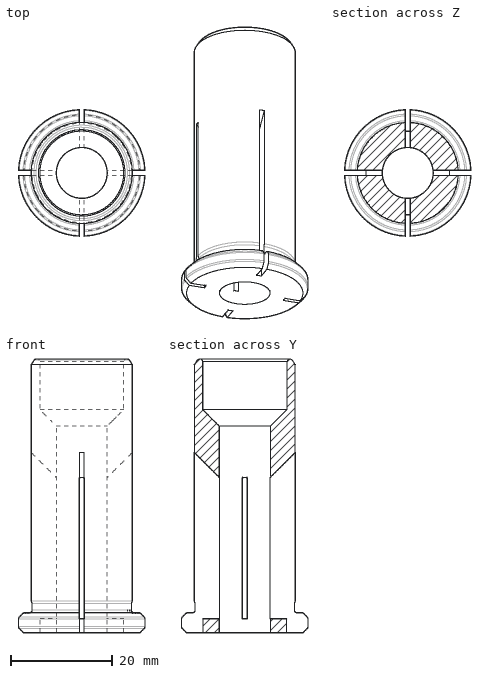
import cadquery as cq
import math

total_height = 54.0
tube_radius = 20.0 / 2
flange_radius = 25.0 / 2
bore_radius = 16.5 / 2
throat_radius = 10.0 / 2

flange_height = 4.0
flange_chamfer = 1.0
blend_radius = 0.5
groove_depth = 0.15
groove_taper_start = 5.8
groove_top = 6.3

rim_chamfer_height = 1.15
rim_chamfer_width = 0.7
bore_chamfer_width = 0.25
bore_chamfer_height = 0.55

funnel_top = 44.0
funnel_slope = 45.0

slot_width = 0.95
slot_top = 35.6
slot_end_slope = 45.0
base_ring_height = 2.8
base_ring_radius = bore_radius
slot_count = 4

groove_radius = tube_radius - groove_depth
flange_top_radius = flange_radius - flange_chamfer
rim_radius = tube_radius - rim_chamfer_width


def make_outer_body():
    """Solid of revolution with the flange, relief groove and rim chamfer."""
    profile = (
        cq.Workplane("XZ")
        .lineTo(flange_top_radius, 0)
        .lineTo(flange_radius, flange_chamfer)
        .lineTo(flange_radius, flange_height - flange_chamfer)
        .lineTo(flange_top_radius, flange_height)
        .lineTo(groove_radius, flange_height)
        .lineTo(groove_radius, groove_taper_start)
        .lineTo(tube_radius, groove_top)
        .lineTo(tube_radius, total_height - rim_chamfer_height)
        .lineTo(rim_radius, total_height)
        .lineTo(0, total_height)
        .close()
    )
    body = profile.revolve(360, (0, 0, 0), (0, 1, 0))
    return blend_edges(body)


def blend_edges(body):
    """Round the flange corners, the flange root and the outer rim edge."""
    blended_circles = [
        (flange_radius, flange_chamfer),
        (flange_radius, flange_height - flange_chamfer),
        (flange_top_radius, flange_height),
        (groove_radius, flange_height),
        (rim_radius, total_height),
    ]

    def is_blended(edge):
        if edge.geomType() != "CIRCLE":
            return False
        height = edge.Center().z
        return any(
            math.isclose(edge.radius(), radius, abs_tol=0.005) and math.isclose(height, z, abs_tol=0.005)
            for radius, z in blended_circles
        )

    edges = [edge for edge in body.edges().vals() if is_blended(edge)]
    return body.newObject(edges).fillet(blend_radius)


def make_cavity():
    """Upper bore, funnel and throat bore down to the base."""
    funnel_bottom = funnel_top - (bore_radius - throat_radius) * math.tan(math.radians(funnel_slope))
    profile = (
        cq.Workplane("XZ")
        .lineTo(throat_radius, 0)
        .lineTo(throat_radius, funnel_bottom)
        .lineTo(bore_radius, funnel_top)
        .lineTo(bore_radius, total_height - bore_chamfer_height)
        .lineTo(bore_radius + bore_chamfer_width, total_height)
        .lineTo(0, total_height)
        .close()
    )
    return profile.revolve(360, (0, 0, 0), (0, 1, 0))


def make_slot(angle):
    """Radial slot with a sloping upper end, stepped outward around the base ring."""
    slot_end_height = slot_top - tube_radius * math.tan(math.radians(slot_end_slope))
    slot = (
        cq.Workplane("XZ")
        .moveTo(base_ring_radius, 0)
        .lineTo(base_ring_radius, base_ring_height)
        .lineTo(0, base_ring_height)
        .lineTo(0, slot_end_height)
        .lineTo(tube_radius, slot_top)
        .lineTo(flange_radius, slot_top)
        .lineTo(flange_radius, 0)
        .close()
        .extrude(slot_width / 2, both=True)
    )
    return slot.rotate((0, 0, 0), (0, 0, 1), angle)


result = make_outer_body().cut(make_cavity())
for index in range(slot_count):
    result = result.cut(make_slot(index * 360 / slot_count))